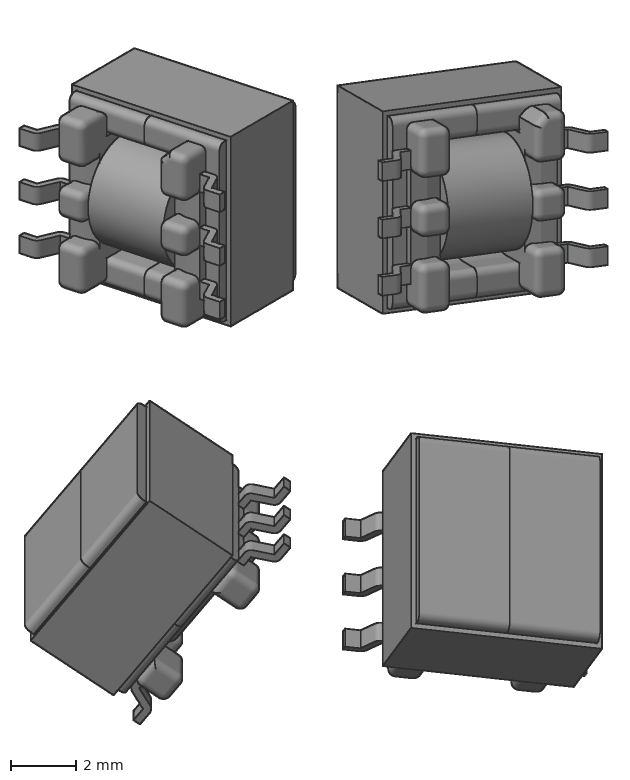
import cadquery as cq
import math


EDGE_RADIUS = 0.25
PICK_MARGIN = 0.01

CORE_LENGTH = 5.76
CORE_DEPTH = 3.89
CORE_HEIGHT = 6.14
CORE_FRONT = -CORE_DEPTH / 2
WINDOW_LENGTH = 3.88
WINDOW_RADIUS = 2.11
AXIS_Y = -1.06
POST_RADIUS = 0.85

TAPE_THICKNESS = 0.165
TAPE_DEPTH = 3.18

COIL_LENGTH = 2.88
FLANGE_RADIUS = 2.08
TUBE_RADIUS = 1.1
RAIL_OUTER_X = 2.49
RAIL_HEIGHT = 5.89
RAIL_THICKNESS = 0.49
RAIL_BEVEL_DROP = 0.12
BLOCK_DEPTH = 1.205
END_BLOCK_HEIGHT = 1.57
MIDDLE_BLOCK_HEIGHT = 1.02
KEY_CHAMFER = 0.36

COIL_RADIUS = 1.84

LEAD_THICKNESS = 0.25
LEAD_WIDTH = 0.6
LEAD_PITCH = 1.83
LEAD_TIP_X = 3.85
LEAD_FOOT_FRONT = -3.205
LEAD_UPPER_BEND_X = 2.855
LEAD_LOWER_BEND_X = 3.36

RAIL_INNER_X = COIL_LENGTH / 2
WINDOW_END_X = WINDOW_LENGTH / 2
RAIL_FRONT = CORE_FRONT - RAIL_THICKNESS
RAIL_MIDDLE_X = (RAIL_INNER_X + RAIL_OUTER_X) / 2


def box_between(x_range, y_range, z_range):
    """Box filling the given (low, high) ranges."""
    lows, highs = zip(x_range, y_range, z_range)
    sizes = [high - low for low, high in zip(lows, highs)]
    return cq.Workplane("XY").box(*sizes, centered=False).translate(lows)


def axial_cylinder(radius, x_range):
    """Cylinder on the winding axis."""
    start, end = x_range
    return cq.Workplane("YZ", origin=(start, AXIS_Y, 0)).circle(radius).extrude(end - start)


def axial_arch(radius, x_range):
    """Half-round behind the winding axis, with straight sides running out to the core front."""
    straight_sides = box_between(x_range, (CORE_FRONT, AXIS_Y), (-radius, radius))
    in_front = box_between(x_range, (AXIS_Y - radius, CORE_FRONT), (-radius, radius))
    return axial_cylinder(radius, x_range).union(straight_sides).cut(in_front)


def make_core_half():
    """Core half on the +X side: outer walls, end wall and half of the centre post."""
    half_length = CORE_LENGTH / 2
    half = (
        cq.Workplane("YZ")
        .rect(CORE_DEPTH, CORE_HEIGHT)
        .extrude(half_length)
        .edges("|X")
        .fillet(EDGE_RADIUS)
    )
    half = half.cut(axial_arch(WINDOW_RADIUS, (0, WINDOW_END_X)))
    mouth_edges = cq.selectors.BoxSelector(
        (0, CORE_FRONT - PICK_MARGIN, -WINDOW_RADIUS - PICK_MARGIN),
        (WINDOW_END_X, CORE_FRONT + PICK_MARGIN, WINDOW_RADIUS + PICK_MARGIN),
    )
    half = half.edges("|X").edges(mouth_edges).fillet(EDGE_RADIUS)
    return half.union(axial_cylinder(POST_RADIUS, (0, WINDOW_END_X)))


def make_tape():
    """Rectangular band wrapped around the core."""
    band = cq.Workplane("XY").box(
        CORE_LENGTH + 2 * TAPE_THICKNESS, TAPE_DEPTH, CORE_HEIGHT + 2 * TAPE_THICKNESS
    )
    return band.cut(cq.Workplane("XY").box(CORE_LENGTH, TAPE_DEPTH, CORE_HEIGHT))


def make_rail():
    """Bar across the core front on the +X side, bevelled towards the winding.

    It runs between the middles of the two end standoffs.
    """
    rail_length = RAIL_HEIGHT - END_BLOCK_HEIGHT
    rail = (
        cq.Workplane("XY", origin=(0, 0, -rail_length / 2))
        .moveTo(RAIL_INNER_X, CORE_FRONT)
        .lineTo(RAIL_OUTER_X, CORE_FRONT)
        .lineTo(RAIL_OUTER_X, RAIL_FRONT)
        .lineTo(WINDOW_END_X, RAIL_FRONT)
        .lineTo(RAIL_INNER_X, RAIL_FRONT + RAIL_BEVEL_DROP)
        .close()
        .extrude(rail_length)
    )
    return rail.edges(">Y and >X").fillet(EDGE_RADIUS)


def make_end_block(keyed):
    """Standoff at the +Z end of the +X rail; the keyed one has its inner top corner cut off."""
    top = RAIL_HEIGHT / 2
    block = box_between(
        (RAIL_INNER_X, RAIL_OUTER_X),
        (CORE_FRONT - BLOCK_DEPTH, CORE_FRONT),
        (top - END_BLOCK_HEIGHT, top),
    )
    side_edges = "|Y"
    if keyed:
        block = block.edges("|Y and <X and >Z").chamfer(KEY_CHAMFER)
        side_edges = "(|Y and >X) or (|Y and <Z)"
    return block.edges(f"{side_edges} or <Y or (>Y and >X) or (>Y and >Z)").fillet(EDGE_RADIUS)


def make_middle_block():
    """Standoff at mid-height of the +X rail."""
    half_height = MIDDLE_BLOCK_HEIGHT / 2
    block = box_between(
        (RAIL_INNER_X, RAIL_OUTER_X),
        (CORE_FRONT - BLOCK_DEPTH, CORE_FRONT - EDGE_RADIUS),
        (-half_height, half_height),
    )
    return block.edges("|Y or <Y").fillet(EDGE_RADIUS)


def make_lead():
    """Gull-wing lead on the +X side, centred on Z = 0, with sharp inner bends and round outer ones."""
    upper_bend = cq.Vector(LEAD_UPPER_BEND_X, RAIL_FRONT)
    lower_bend = cq.Vector(LEAD_LOWER_BEND_X, LEAD_FOOT_FRONT + LEAD_THICKNESS)
    span = lower_bend - upper_bend
    slope = math.atan2(span.y, span.x) - math.asin(LEAD_THICKNESS / span.Length)
    normal_angle = slope + math.pi / 2
    mid_angle = (math.pi / 2 + normal_angle) / 2

    def around(bend, angle, side):
        """Point one lead thickness from a bend corner, on the given side (+1 or -1)."""
        reach = side * LEAD_THICKNESS
        return (bend.x + reach * math.cos(angle), bend.y + reach * math.sin(angle))

    return (
        cq.Workplane("XY", origin=(0, 0, -LEAD_WIDTH / 2))
        .moveTo(RAIL_MIDDLE_X, upper_bend.y)
        .lineTo(upper_bend.x, upper_bend.y)
        .lineTo(*around(lower_bend, normal_angle, -1))
        .threePointArc(around(lower_bend, mid_angle, -1), (lower_bend.x, LEAD_FOOT_FRONT))
        .lineTo(LEAD_TIP_X, LEAD_FOOT_FRONT)
        .lineTo(LEAD_TIP_X, lower_bend.y)
        .lineTo(lower_bend.x, lower_bend.y)
        .lineTo(*around(upper_bend, normal_angle, 1))
        .threePointArc(
            around(upper_bend, mid_angle, 1), (upper_bend.x, upper_bend.y + LEAD_THICKNESS)
        )
        .lineTo(RAIL_MIDDLE_X, upper_bend.y + LEAD_THICKNESS)
        .close()
        .extrude(LEAD_WIDTH)
    )


def make_bobbin_side(keyed):
    """Flange, rail, standoffs and leads on the +X side; a keyed side has a keyed top standoff."""
    side = axial_arch(FLANGE_RADIUS, (RAIL_INNER_X, WINDOW_END_X))
    side = side.union(make_rail())
    side = side.union(make_end_block(keyed))
    side = side.union(make_end_block(False).mirror("XY"))
    side = side.union(make_middle_block())
    for row in (-1, 0, 1):
        side = side.union(make_lead().translate((0, 0, row * LEAD_PITCH)))
    return side


def make_bobbin():
    """Two flanged sides joined by the tube around the centre post."""
    tube = axial_cylinder(TUBE_RADIUS, (-RAIL_INNER_X, RAIL_INNER_X))
    bobbin = make_bobbin_side(True).union(make_bobbin_side(False).mirror("YZ")).union(tube)
    return bobbin.cut(axial_cylinder(POST_RADIUS, (-WINDOW_END_X, WINDOW_END_X)))


def make_winding():
    """Coil filling the tube between the flanges."""
    coil_range = (-RAIL_INNER_X, RAIL_INNER_X)
    return axial_cylinder(COIL_RADIUS, coil_range).cut(axial_cylinder(TUBE_RADIUS, coil_range))


core_halves = [make_core_half(), make_core_half().mirror("YZ")]
tape = make_tape()
bobbin = make_bobbin()
winding = make_winding()

result = cq.Compound.makeCompound(
    [
        *[half.val() for half in core_halves],
        tape.val(),
        bobbin.val(),
        winding.val(),
    ]
)